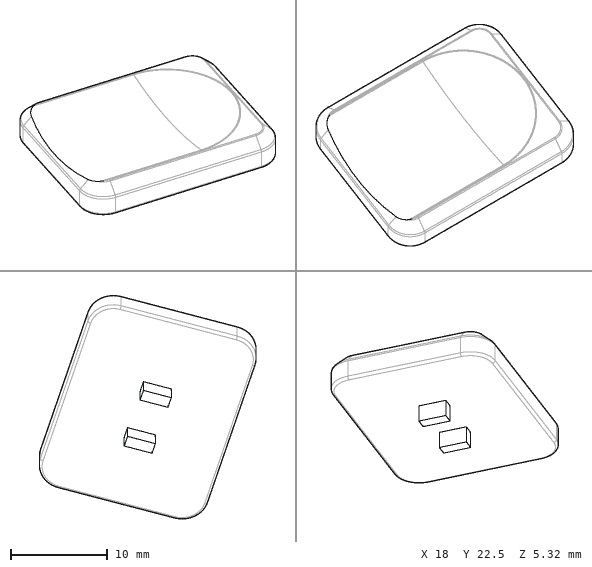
import cadquery as cq
import math

width = 18.0
length = 22.5
body_height = 3.5
corner_radius = 2.75
bevel_inset = 1.25
bevel_height = 1.24
shoulder_radius = 0.34
top_edge_radius = 0.2
bottom_edge_radius = 0.3

dish_width = 15.0
dish_depth = 0.88
dish_center_y = 2.3
rim_radius = 0.5

leg_width = 3.0
leg_thickness = 1.2
leg_length = 1.82
leg_spacing = 5.7

edge_margin = 0.22

dish_half_width = dish_width / 2
dish_radius = (dish_half_width**2 + dish_depth**2) / (2 * dish_depth)
dish_axis_z = body_height - dish_depth + dish_radius

half_angle = math.asin(dish_half_width / dish_radius) / 2
half_arc_x = dish_radius * math.sin(half_angle)
half_arc_z = -dish_depth + dish_radius * (1 - math.cos(half_angle))


def make_body():
    """Rounded rectangular slab with a bevelled top and softened edges."""
    slab = (
        cq.Workplane("XY")
        .rect(width, length)
        .extrude(body_height)
        .edges("|Z")
        .fillet(corner_radius)
    )
    bevelled = slab.faces(">Z").chamfer(bevel_height, bevel_inset)
    shoulder_z = body_height - bevel_height
    shoulder = cq.selectors.BoxSelector(
        (-width, -length, shoulder_z - edge_margin),
        (width, length, shoulder_z + edge_margin),
    )
    softened = bevelled.edges(shoulder).fillet(shoulder_radius)
    softened = softened.faces(">Z").edges().fillet(top_edge_radius)
    return softened.faces("<Z").edges().fillet(bottom_edge_radius)


def make_dish():
    """Cylindrical trough that ends in a spherical cap of the same radius."""
    trough = (
        cq.Workplane("XZ", origin=(0, dish_center_y, 0))
        .center(0, dish_axis_z)
        .circle(dish_radius)
        .extrude(2 * length)
    )
    round_end = (
        cq.Workplane("XZ", origin=(0, dish_center_y, body_height))
        .moveTo(0, -dish_depth)
        .threePointArc((half_arc_x, half_arc_z), (dish_half_width, 0))
        .lineTo(0, 0)
        .close()
        .revolve(360, (0, 0, 0), (0, 1, 0))
    )
    return trough.union(round_end)


def make_legs():
    """Two rectangular legs below the body, in a row along Y."""
    return (
        cq.Workplane("XY")
        .rarray(0.22, leg_spacing, 1, 2)
        .rect(leg_width, leg_thickness)
        .extrude(-leg_length)
    )


def make_dished_block():
    """Oversized block whose top holds the dish with a softened rim, used to shape the body."""
    block = (
        cq.Workplane("XY")
        .rect(2 * width, 2 * length)
        .extrude(body_height)
        .cut(make_dish())
    )
    rim_reach = dish_half_width + edge_margin
    rim = cq.selectors.BoxSelector(
        (-rim_reach, -length, body_height - edge_margin),
        (rim_reach, dish_center_y + rim_reach, body_height + edge_margin),
    )
    return block.edges(rim).fillet(rim_radius)


result = make_body().intersect(make_dished_block()).union(make_legs())